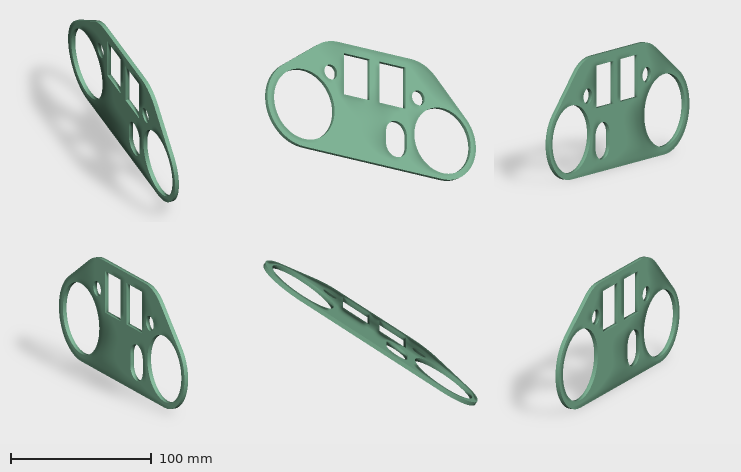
import cadquery as cq
import math

plate_thickness = 3.0
plate_height = 85.0
plate_length = 181.0

left_end_radius = 32.0
right_end_radius = 29.0
shoulder_radius = 30.0
left_shoulder_x = -29.3
right_shoulder_x = 34.1

left_end_center = (-plate_length / 2 + left_end_radius, left_end_radius)
right_end_center = (plate_length / 2 - right_end_radius, right_end_radius)
shoulder_z = plate_height - shoulder_radius

left_gauge_diameter = 52.5
right_gauge_diameter = 49.0

small_hole_diameter = 11.0
left_hole_offset = (23.0, 29.0)
right_hole_offset = (-21.0, 28.0)

window_width = 22.5
window_height = 31.0
window_spacing = 31.0
window_pair_center_x = 2.5
window_center_z = 62.0

slot_width = 18.0
slot_height = 27.0
slot_center = (21.5, 22.0)


def back_face():
    """Workplane on the +Y face; extrusions run toward -Y through the plate, centred on Y = 0."""
    return cq.Workplane("XZ", origin=(0, plate_thickness / 2, 0))


def shifted(point, offset):
    return (point[0] + offset[0], point[1] + offset[1])


def point_on_circle(center, radius, angle):
    return (center[0] + radius * math.cos(angle), center[1] + radius * math.sin(angle))


def tangent_normal_angle(first, second):
    """Outward normal direction of the edge touching two corner circles, taken counterclockwise."""
    (x1, z1), r1 = first
    (x2, z2), r2 = second
    distance = math.hypot(x2 - x1, z2 - z1)
    direction = math.atan2(z2 - z1, x2 - x1)
    return direction - math.acos((r1 - r2) / distance)


def make_plate():
    """Belt outline: corner arcs joined by their common outer tangents."""
    corners = [
        (left_end_center, left_end_radius),
        (right_end_center, right_end_radius),
        ((right_shoulder_x, shoulder_z), shoulder_radius),
        ((left_shoulder_x, shoulder_z), shoulder_radius),
    ]
    edge_normals = [
        tangent_normal_angle(corner, corners[(i + 1) % len(corners)])
        for i, corner in enumerate(corners)
    ]
    first_center, first_radius = corners[0]
    outline = back_face().moveTo(*point_on_circle(first_center, first_radius, edge_normals[0]))
    for i in range(1, len(corners) + 1):
        center, radius = corners[i % len(corners)]
        arc_start = edge_normals[i - 1]
        arc_sweep = (edge_normals[i % len(corners)] - arc_start) % (2 * math.pi)
        outline = outline.lineTo(*point_on_circle(center, radius, arc_start))
        outline = outline.threePointArc(
            point_on_circle(center, radius, arc_start + arc_sweep / 2),
            point_on_circle(center, radius, arc_start + arc_sweep),
        )
    return outline.close().extrude(plate_thickness)


def round_cutter(center, diameter):
    return back_face().center(*center).circle(diameter / 2).extrude(plate_thickness)


def window_cutter(center_x):
    sketch = back_face().center(center_x, window_center_z)
    return sketch.rect(window_width, window_height).extrude(plate_thickness)


def slot_cutter():
    upright = 90
    sketch = back_face().center(*slot_center)
    return sketch.slot2D(slot_height, slot_width, upright).extrude(plate_thickness)


result = make_plate()

round_holes = [
    (left_end_center, left_gauge_diameter),
    (right_end_center, right_gauge_diameter),
    (shifted(left_end_center, left_hole_offset), small_hole_diameter),
    (shifted(right_end_center, right_hole_offset), small_hole_diameter),
]
for hole_center, hole_diameter in round_holes:
    result = result.cut(round_cutter(hole_center, hole_diameter))

for side in (-1, 1):
    result = result.cut(window_cutter(window_pair_center_x + side * window_spacing / 2))

result = result.cut(slot_cutter())